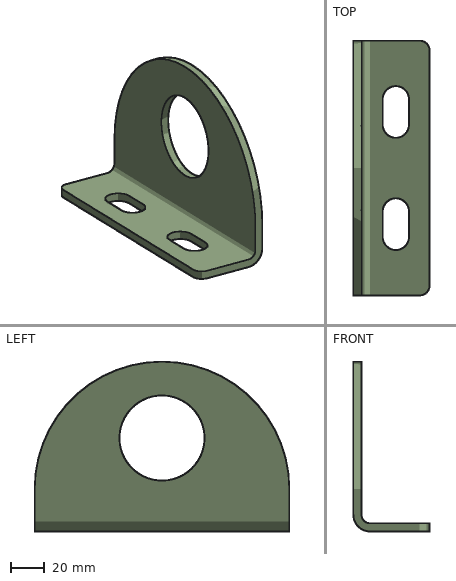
import cadquery as cq

length = 150.0
depth = 45.0
height = 100.0

thickness = 5.0
inner_bend_radius = 5.0
outer_bend_radius = inner_bend_radius + thickness

arch_radius = length / 2
arch_center_z = height - arch_radius
eye_diameter = 50.0
eye_center_z = 55.0

corner_radius = 6.0
slot_length = 30.3
slot_width = 15.3
slot_center_x = 25.0
slot_spacing = 66.0


def bent_sheet():
    """L-shaped sheet with a rounded bend, centred along Y."""
    outer = cq.Workplane("XY").box(depth, length, height, centered=(False, True, False))
    outer = outer.edges("|Y and <X and <Z").fillet(outer_bend_radius)
    inside = (
        cq.Workplane("XY")
        .box(depth, length, height, centered=(False, True, False))
        .edges("|Y and <X and <Z")
        .fillet(inner_bend_radius)
        .translate((thickness, 0, thickness))
    )
    return outer.cut(inside)


def arch_envelope():
    """Solid with the rounded outline of the upright plate, spanning the full depth."""
    return (
        cq.Workplane("YZ")
        .moveTo(-length / 2, 0)
        .lineTo(length / 2, 0)
        .lineTo(length / 2, arch_center_z)
        .threePointArc((0, height), (-length / 2, arch_center_z))
        .close()
        .extrude(depth)
    )


def eye_cutter():
    """Cylinder for the large round hole through the upright plate."""
    return cq.Workplane("YZ").center(0, eye_center_z).circle(eye_diameter / 2).extrude(thickness)


def slot_cutters():
    """Two slots through the base flange, running along Y."""
    centers = [(slot_center_x, side * slot_spacing / 2) for side in (-1, 1)]
    return cq.Workplane("XY").pushPoints(centers).slot2D(slot_length, slot_width, 90).extrude(thickness)


bracket = bent_sheet().intersect(arch_envelope())
bracket = bracket.edges("|Z and >X").fillet(corner_radius)
result = bracket.cut(eye_cutter()).cut(slot_cutters())